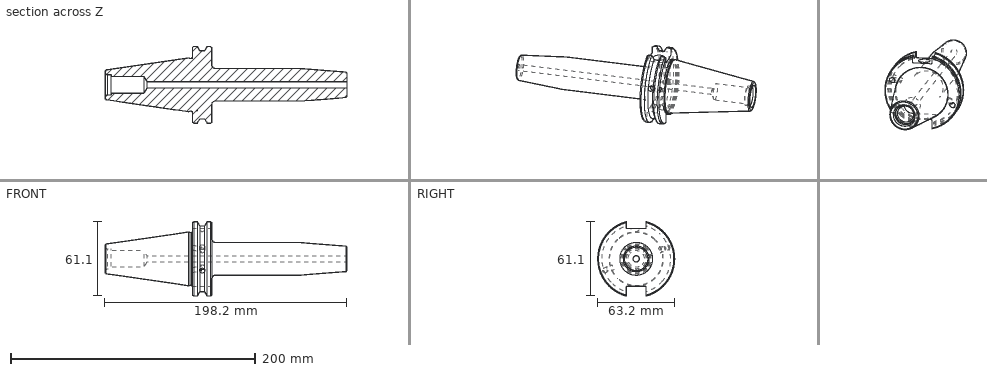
import cadquery as cq
import math

total_length = 198.2

gauge_x = 68.4
gauge_radius = 22.2
taper_end_radius = gauge_radius - gauge_x * 7 / 48
taper_end_chamfer = 0.8

neck_radius = 43.6 / 2
neck_start_x = 69.4
neck_fillet = 0.8

flange_start_x = 71.4
flange_width = 16.0
flange_end_x = flange_start_x + flange_width
flange_radius = 63.2 / 2
flange_chamfer_length = 1.2
flange_chamfer_depth = 0.8
groove_x = 79.5
groove_floor_radius = 28.2
groove_floor_half_width = 2.0
groove_flank_angle = 30
groove_mouth_half_width = groove_floor_half_width + (
    flange_radius - groove_floor_radius
) * math.tan(math.radians(groove_flank_angle))

shank_radius = 27.0 / 2
shank_fillet = 3.0
nose_start_x = 160.2
nose_angle = 4.5
nose_chamfer = 1.0
nose_end_radius = shank_radius - (total_length - nose_chamfer - nose_start_x) * math.tan(
    math.radians(nose_angle)
)

mouth_radius = 9.1
mouth_chamfer_length = 1.8
pilot_radius = 16.3 / 2
pilot_depth = 4.8
thread_bore_radius = 13.5 / 2
thread_bore_depth = 31.7
through_radius = 5.0 / 2
drill_tip_half_angle = 59

slot_width = 16.0
slot_fillet = 0.4
upper_slot_floor_z = 25.0
lower_slot_floor_z = -22.6

dimple_radius = 9.5 / 2

passage_angle = 20
passage_circle_radius = 27.0
passage_slope = 30
passage_diameter = 4.0
radial_hole_diameter = 4.2



def cone_depth(large_radius, small_radius=0.0):
    """Axial length of a drill-point cone between two radii."""
    return (large_radius - small_radius) / math.tan(math.radians(drill_tip_half_angle))


def make_body():
    """Revolve the outer profile about X."""
    return (
        cq.Workplane("XY")
        .moveTo(0, 0)
        .lineTo(0, taper_end_radius - taper_end_chamfer)
        .lineTo(taper_end_chamfer, taper_end_radius + taper_end_chamfer * 7 / 48)
        .lineTo(gauge_x, gauge_radius)
        .lineTo(neck_start_x, neck_radius)
        .lineTo(flange_start_x - neck_fillet, neck_radius)
        .radiusArc((flange_start_x, neck_radius + neck_fillet), -neck_fillet)
        .lineTo(flange_start_x, flange_radius - flange_chamfer_depth)
        .lineTo(flange_start_x + flange_chamfer_length, flange_radius)
        .lineTo(groove_x - groove_mouth_half_width, flange_radius)
        .lineTo(groove_x - groove_floor_half_width, groove_floor_radius)
        .lineTo(groove_x + groove_floor_half_width, groove_floor_radius)
        .lineTo(groove_x + groove_mouth_half_width, flange_radius)
        .lineTo(flange_end_x - flange_chamfer_length, flange_radius)
        .lineTo(flange_end_x, flange_radius - flange_chamfer_depth)
        .lineTo(flange_end_x, shank_radius + shank_fillet)
        .radiusArc((flange_end_x + shank_fillet, shank_radius), -shank_fillet)
        .lineTo(nose_start_x, shank_radius)
        .lineTo(total_length - nose_chamfer, nose_end_radius)
        .lineTo(total_length, nose_end_radius - nose_chamfer)
        .lineTo(total_length, 0)
        .close()
        .revolve(360, (0, 0, 0), (1, 0, 0))
    )


def make_bore():
    """Chamfered pilot, thread bore with drill-point bottom and through hole."""
    tip_end_x = thread_bore_depth + cone_depth(thread_bore_radius, through_radius)
    return (
        cq.Workplane("XY")
        .moveTo(0, 0)
        .lineTo(0, mouth_radius)
        .lineTo(mouth_chamfer_length, pilot_radius)
        .lineTo(pilot_depth, pilot_radius)
        .lineTo(pilot_depth, thread_bore_radius)
        .lineTo(thread_bore_depth, thread_bore_radius)
        .lineTo(tip_end_x, through_radius)
        .lineTo(total_length, through_radius)
        .lineTo(total_length, 0)
        .close()
        .revolve(360, (0, 0, 0), (1, 0, 0))
    )


def make_slot(floor_z):
    """Driving slot from its floor outward past the flange rim, with rounded floor corners."""
    rim_z = math.copysign(flange_radius + 2, floor_z)
    floor_edges = "<Z" if floor_z > 0 else ">Z"
    return (
        cq.Workplane("XY")
        .box(flange_width, slot_width, abs(rim_z - floor_z))
        .translate((flange_start_x + flange_width / 2, 0, (rim_z + floor_z) / 2))
        .faces(floor_edges)
        .edges("|X")
        .fillet(slot_fillet)
    )


def make_dimple():
    """Conical dimple pointing down from the upper slot floor."""
    depth = cone_depth(dimple_radius)
    return cq.Workplane(
        cq.Solid.makeCone(
            dimple_radius, 0, depth, cq.Vector(groove_x, 0, upper_slot_floor_z), cq.Vector(0, 0, -1)
        )
    )


def make_passage(angle):
    """Hole sloping inward from the flange face to the axis of a radial hole in the groove floor."""
    outward = cq.Vector(0, math.cos(math.radians(angle)), math.sin(math.radians(angle)))
    run = groove_x - flange_start_x
    drop = run * math.tan(math.radians(passage_slope))
    meeting_radius = passage_circle_radius - drop
    slope_vector = cq.Vector(run, 0, 0) - outward * drop
    slope_end = outward * meeting_radius + cq.Vector(groove_x, 0, 0)
    sloped = cq.Solid.makeCylinder(
        passage_diameter / 2, 2 * slope_vector.Length, slope_end - slope_vector * 2, slope_vector
    )
    radial_bottom_radius = meeting_radius - passage_diameter / 2
    radial = cq.Solid.makeCylinder(
        radial_hole_diameter / 2,
        flange_radius - radial_bottom_radius,
        outward * radial_bottom_radius + cq.Vector(groove_x, 0, 0),
        outward,
    )
    return cq.Workplane(sloped).union(cq.Workplane(radial))


result = make_body().cut(make_bore())
for slot_floor_z in (upper_slot_floor_z, lower_slot_floor_z):
    result = result.cut(make_slot(slot_floor_z))
result = result.cut(make_dimple())
for side_angle in (passage_angle, passage_angle + 180):
    result = result.cut(make_passage(side_angle))